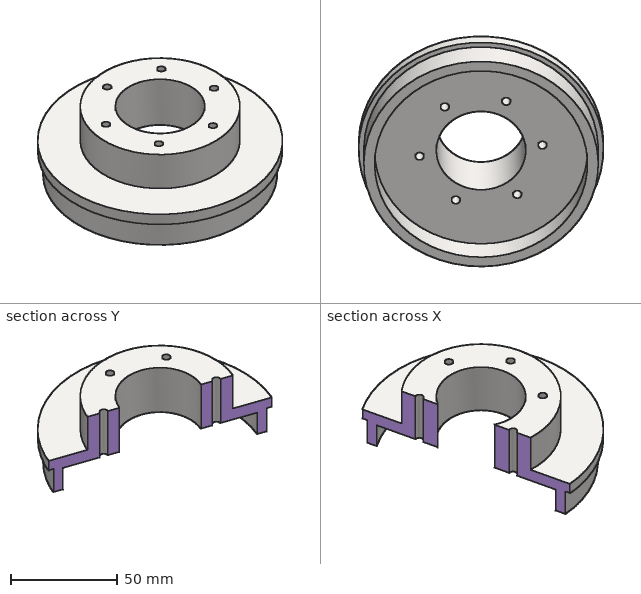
import cadquery as cq

rim_diameter = 110.0
rim_height = 14.0
flange_diameter = 115.0
flange_thickness = 6.0
hub_diameter = 75.0
hub_height = 20.0
total_height = rim_height + flange_thickness + hub_height

bore_diameter = 42.0
bore_length = 27.0
recess_depth = total_height - bore_length
rim_wall = 5.1
recess_diameter = rim_diameter - 2 * rim_wall

bolt_count = 6
bolt_diameter = 4.0
bolt_circle_diameter = 58.0


def make_body():
    """Rim, flange and hub stacked on the Z axis, with the rim resting on Z = 0."""
    rim = cq.Workplane("XY").circle(rim_diameter / 2).extrude(rim_height)
    flange = rim.faces(">Z").workplane().circle(flange_diameter / 2).extrude(flange_thickness)
    return flange.faces(">Z").workplane().circle(hub_diameter / 2).extrude(hub_height)


def make_bore():
    return cq.Workplane("XY").circle(bore_diameter / 2).extrude(total_height)


def make_recess():
    return cq.Workplane("XY").circle(recess_diameter / 2).extrude(recess_depth)


def make_bolt_holes():
    """Evenly spaced through holes, the first one on the +X axis."""
    return (
        cq.Workplane("XY")
        .polarArray(bolt_circle_diameter / 2, 0, 360, bolt_count)
        .circle(bolt_diameter / 2)
        .extrude(total_height)
    )


result = make_body().cut(make_bore()).cut(make_recess()).cut(make_bolt_holes())